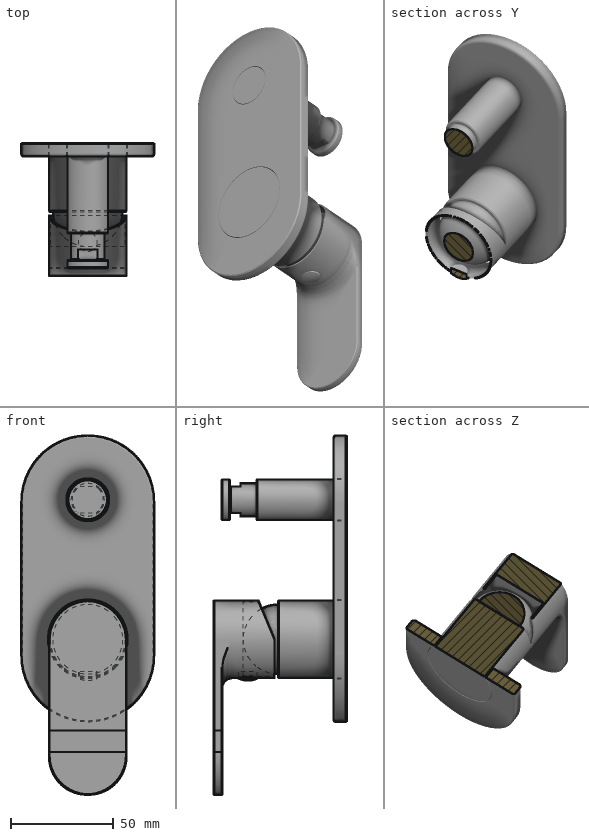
import cadquery as cq
import math


PLATE_WIDTH = 65.0
PLATE_THICKNESS = 6.5
PLATE_FILLET = 1.4
PLATE_BACK_CHAMFER = 0.5
PLATE_CENTRE_SPACING = 75.0
PLATE_LOWER_CENTRE_Z = -7.9
PLATE_HOLE_CLEARANCE = 0.4

DIVERTER_Z = 68.0
DIVERTER_RADIUS = 10.0
DIVERTER_SLEEVE_END = 44.0
STEM_RADIUS = 8.0
STEM_END = 57.0
STEM_FLAT_START = 52.0
STEM_FLAT_HEIGHT = 6.5
KNOB_END = 61.0

MOUNT_RADIUS = 19.0
MOUNT_END = 33.5
DOME_RADIUS = 17.0

LEVER_RADIUS = 19.0
LEVER_BACK = 35.3
LEVER_FRONT = 65.0
LEVER_THICKNESS = 4.2
LEVER_TIP_CENTRE_Z = -57.0
LEVER_RELIEF_DEPTH = 7.9
LEVER_BLEND_RADIUS = 4.5
LEVER_EDGE_CHAMFER = 0.4
LEVER_BORE_RADIUS = 18.2
BAND_TOP_Z = -44.5
BAND_HEIGHT = 10.5

CAP_RADIUS = 4.5
CAP_DEPTH = 48.2
CAP_LENGTH = 3.5
CAP_CROWN = 1.0
CAP_EDGE_Z = -19.1

EDGE_CHAMFER = 0.5

LEVER_PLATE_BACK = LEVER_FRONT - LEVER_THICKNESS
BAND_BOTTOM_Z = BAND_TOP_Z - BAND_HEIGHT


def front_plane(depth, z=0.0):
    """Workplane parallel to the wall: local X is X, local Y is Z, extrusion is toward -Y."""
    return cq.Workplane("XZ", origin=(0, -depth, z))


def disc(start, end, radius, z=0.0):
    """Cylinder square to the wall between two depths."""
    return front_plane(start, z).circle(radius).extrude(end - start)


def make_wall_plate():
    """Round-ended plate with a clearance hole for each sleeve."""
    centre_z = PLATE_LOWER_CENTRE_Z + PLATE_CENTRE_SPACING / 2
    length = PLATE_CENTRE_SPACING + PLATE_WIDTH
    plate = front_plane(0, centre_z).slot2D(length, PLATE_WIDTH, 90).extrude(PLATE_THICKNESS)
    plate = plate.faces("<Y").edges().fillet(PLATE_FILLET)
    plate = plate.faces(">Y").edges().chamfer(PLATE_BACK_CHAMFER)
    for sleeve_radius, z in ((DIVERTER_RADIUS, DIVERTER_Z), (MOUNT_RADIUS, 0.0)):
        plate = plate.cut(disc(0, PLATE_THICKNESS, sleeve_radius + PLATE_HOLE_CLEARANCE, z))
    return plate


def make_sleeve(radius, end, z):
    """Cylinder running from the wall through its plate hole, chamfered at its free end."""
    return disc(0, end, radius, z).faces("<Y").edges().chamfer(EDGE_CHAMFER)


def make_stem():
    """Diverter stem with a flat above and below next to the knob."""
    stem = disc(DIVERTER_SLEEVE_END, STEM_END, STEM_RADIUS, DIVERTER_Z)
    stem = stem.faces("<Y").edges().chamfer(EDGE_CHAMFER)
    flat_length = STEM_END - STEM_FLAT_START
    between_flats = (
        front_plane(STEM_FLAT_START, DIVERTER_Z)
        .rect(2 * STEM_RADIUS, 2 * STEM_FLAT_HEIGHT)
        .extrude(flat_length)
    )
    flatted_end = disc(STEM_FLAT_START, STEM_END, STEM_RADIUS, DIVERTER_Z)
    return stem.cut(flatted_end.cut(between_flats))


def make_knob():
    knob = disc(STEM_END, KNOB_END, DIVERTER_RADIUS, DIVERTER_Z)
    return knob.faces("|Y").edges().chamfer(EDGE_CHAMFER)


def make_dome():
    """Hemisphere on the end of the lever mount."""
    ball = cq.Workplane("XY", origin=(0, -MOUNT_END, 0)).sphere(DOME_RADIUS)
    return ball.intersect(disc(MOUNT_END, MOUNT_END + DOME_RADIUS, DOME_RADIUS))


def lever_outline(depth):
    """Full lever outline, round at the top about the axis and round at the tip."""
    length = 2 * LEVER_RADIUS - LEVER_TIP_CENTRE_Z
    return front_plane(depth, LEVER_TIP_CENTRE_Z / 2).slot2D(length, 2 * LEVER_RADIUS, 90)


def make_lever_plate():
    plate = lever_outline(LEVER_PLATE_BACK).extrude(LEVER_THICKNESS)
    return plate.faces("|Y").edges().chamfer(LEVER_EDGE_CHAMFER)


def make_lever_hub():
    """Hub flaring into the lever plate, trimmed to the lever outline."""
    flare_start = LEVER_PLATE_BACK - LEVER_BLEND_RADIUS
    flare_radius = LEVER_RADIUS + LEVER_BLEND_RADIUS
    hub_front = LEVER_FRONT - LEVER_THICKNESS / 2
    blend_mid = LEVER_BLEND_RADIUS * math.sin(math.radians(45))
    hub = (
        cq.Workplane("XY")
        .moveTo(0, -LEVER_BACK)
        .lineTo(LEVER_RADIUS, -LEVER_BACK)
        .lineTo(LEVER_RADIUS, -flare_start)
        .threePointArc(
            (flare_radius - blend_mid, -flare_start - blend_mid),
            (flare_radius, -LEVER_PLATE_BACK),
        )
        .lineTo(flare_radius, -hub_front)
        .lineTo(0, -hub_front)
        .close()
        .revolve(360, (0, 0, 0), (0, 1, 0))
    )
    return hub.intersect(lever_outline(LEVER_BACK).extrude(hub_front - LEVER_BACK))


def lever_relief():
    """Wedge that slopes the upper half of the hub's rear end away from the mount."""
    return (
        cq.Workplane("YZ")
        .moveTo(-LEVER_BACK, 0)
        .lineTo(-LEVER_BACK - LEVER_RELIEF_DEPTH, LEVER_RADIUS)
        .lineTo(-LEVER_BACK, LEVER_RADIUS)
        .close()
        .extrude(LEVER_RADIUS, both=True)
    )


def lever_slice(top_z, bottom_z):
    """Block covering the lever's whole section between two heights."""
    centre_y = -(LEVER_BACK + LEVER_FRONT) / 2
    return (
        cq.Workplane("XY", origin=(0, centre_y, bottom_z))
        .rect(2 * LEVER_RADIUS, LEVER_FRONT - LEVER_BACK)
        .extrude(top_z - bottom_z)
    )


def lever_bore():
    """Hollow in the rear of the hub that clears the dome's side and meets its apex."""
    return disc(LEVER_BACK, MOUNT_END + DOME_RADIUS, LEVER_BORE_RADIUS)


def make_lever(screw_cap):
    lever = make_lever_hub().union(make_lever_plate()).cut(lever_relief())
    lever = lever.intersect(lever_slice(LEVER_RADIUS, BAND_TOP_Z))
    return lever.cut(lever_bore()).cut(screw_cap)


def make_band():
    return make_lever_plate().intersect(lever_slice(BAND_TOP_Z, BAND_BOTTOM_Z))


def make_tip():
    tip_bottom_z = LEVER_TIP_CENTRE_Z - LEVER_RADIUS
    return make_lever_plate().intersect(lever_slice(BAND_BOTTOM_Z, tip_bottom_z))


def make_screw_cap():
    """Round plug with a crowned end, set through the wall under the lever hub."""
    crown_z = CAP_EDGE_Z - CAP_CROWN
    inner_z = CAP_EDGE_Z + CAP_LENGTH
    crown_radius = (CAP_RADIUS ** 2 + CAP_CROWN ** 2) / (2 * CAP_CROWN)
    mid_radius = CAP_RADIUS / 2
    mid_z = crown_z + crown_radius - math.sqrt(crown_radius ** 2 - mid_radius ** 2)
    return (
        cq.Workplane("XZ", origin=(0, -CAP_DEPTH, 0))
        .moveTo(0, inner_z)
        .lineTo(CAP_RADIUS, inner_z)
        .lineTo(CAP_RADIUS, CAP_EDGE_Z)
        .threePointArc((mid_radius, mid_z), (0, crown_z))
        .close()
        .revolve(360, (0, 0, 0), (0, 1, 0))
    )


wall_plate = make_wall_plate()
diverter_sleeve = make_sleeve(DIVERTER_RADIUS, DIVERTER_SLEEVE_END, DIVERTER_Z)
stem = make_stem()
knob = make_knob()
lever_mount = make_sleeve(MOUNT_RADIUS, MOUNT_END, 0.0)
dome = make_dome()
screw_cap = make_screw_cap()
lever = make_lever(screw_cap)
band = make_band()
tip = make_tip()

result = cq.Compound.makeCompound([
    wall_plate.val(),
    diverter_sleeve.val(),
    stem.val(),
    knob.val(),
    lever_mount.val(),
    dome.val(),
    screw_cap.val(),
    lever.val(),
    band.val(),
    tip.val(),
])